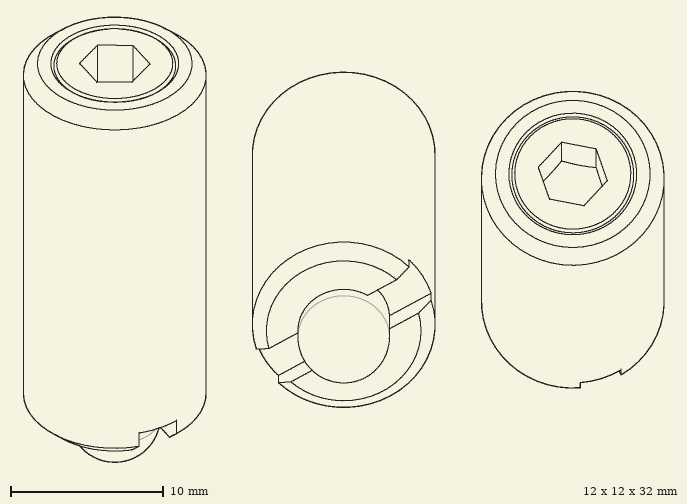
import cadquery as cq
import math

TOTAL_LENGTH = 32.0
HOUSING_DIAMETER = 12.0
HOUSING_BOTTOM = 4.0
HOUSING_CHAMFER = 0.93

SLOT_WIDTH = 2.8
SLOT_DEPTH = 2.0

HEAD_DIAMETER = 8.0
HEAD_LENGTH = 8.0
PIN_DIAMETER = 6.0
JOINT_CHAMFER = 0.2

SOCKET_ACROSS_FLATS = 4.0
SOCKET_DEPTH = 4.0
DRILL_POINT_ANGLE = 118.0

head_radius = HEAD_DIAMETER / 2
pin_radius = PIN_DIAMETER / 2
head_bottom = TOTAL_LENGTH - HEAD_LENGTH


def cylinder(diameter, bottom, top):
    return cq.Workplane("XY").workplane(offset=bottom).circle(diameter / 2).extrude(top - bottom)


def make_housing():
    """Chamfered sleeve with a stepped bore and a driving slot along X."""
    housing = cylinder(HOUSING_DIAMETER, HOUSING_BOTTOM, TOTAL_LENGTH).edges().chamfer(HOUSING_CHAMFER)
    housing = housing.cut(cylinder(PIN_DIAMETER, HOUSING_BOTTOM, head_bottom))
    head_bore = cylinder(HEAD_DIAMETER, head_bottom, TOTAL_LENGTH)
    bore_mouth = cq.Workplane(
        cq.Solid.makeCone(
            head_radius,
            head_radius + JOINT_CHAMFER,
            JOINT_CHAMFER,
            cq.Vector(0, 0, TOTAL_LENGTH - JOINT_CHAMFER),
        )
    )
    slot = (
        cq.Workplane("XY")
        .workplane(offset=HOUSING_BOTTOM)
        .rect(HOUSING_DIAMETER, SLOT_WIDTH)
        .extrude(SLOT_DEPTH)
    )
    return housing.cut(head_bore).cut(bore_mouth).cut(slot)


def make_socket():
    """Hexagon prism with corners on X, ending in a cone that spans the corners."""
    corner_diameter = SOCKET_ACROSS_FLATS / math.cos(math.pi / 6)
    corner_radius = corner_diameter / 2
    cone_height = corner_radius / math.tan(math.radians(DRILL_POINT_ANGLE / 2))
    cone_tip = TOTAL_LENGTH - SOCKET_DEPTH - cone_height
    prism = (
        cq.Workplane("XY")
        .workplane(offset=cone_tip)
        .polygon(6, corner_diameter)
        .extrude(SOCKET_DEPTH + cone_height)
    )
    drill_point = cq.Workplane(cq.Solid.makeCone(0, corner_radius, cone_height, cq.Vector(0, 0, cone_tip)))
    drill = drill_point.union(cylinder(corner_diameter, cone_tip + cone_height, TOTAL_LENGTH))
    return prism.intersect(drill)


def make_core():
    """Revolved head and pin with a hemispherical nose, cut by the hexagon socket."""
    nose_arc_point = pin_radius * math.sin(math.pi / 4)
    core = (
        cq.Workplane("XZ")
        .moveTo(0, 0)
        .threePointArc((nose_arc_point, pin_radius - nose_arc_point), (pin_radius, pin_radius))
        .lineTo(pin_radius, head_bottom)
        .lineTo(head_radius, head_bottom)
        .lineTo(head_radius, TOTAL_LENGTH - JOINT_CHAMFER)
        .lineTo(head_radius - JOINT_CHAMFER, TOTAL_LENGTH)
        .lineTo(0, TOTAL_LENGTH)
        .close()
        .revolve(360, (0, 0), (0, 1))
    )
    return core.cut(make_socket())


housing = make_housing()
core = make_core()

result = cq.Compound.makeCompound([housing.solids().val(), core.solids().val()])